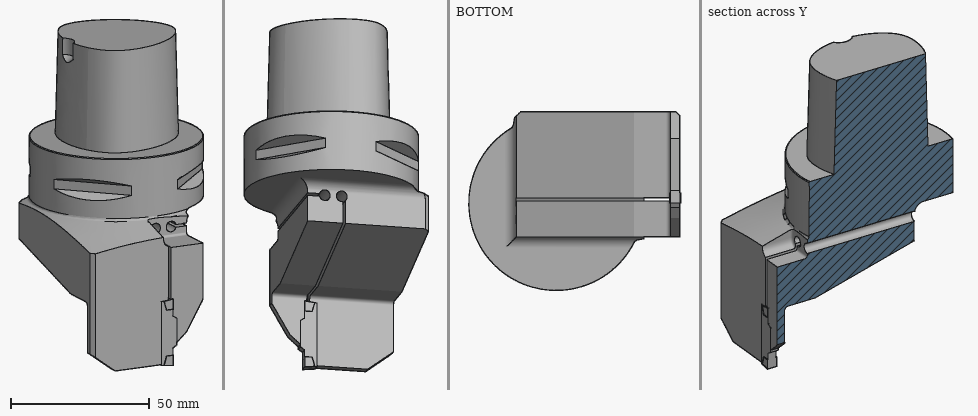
import cadquery as cq
import math


shank_height = 38.0
base_mean_radius = 22.3
top_mean_radius = 21.2
lobe_amplitude = 1.4
flat_normals = (-90, 30, 150)
flat_half_angle = 24.0
spline_steps = 8

notch_radius = 5.0
notch_axis_y = -22.5
notch_depth = 6.1
notch_tip_depth = 3.8

flange_radius = 31.5
flange_height = 22.1
flange_chamfer = 0.3

groove_count = 4
groove_first_angle = 45
groove_z = -12.1
groove_floor_radius = 27.9
groove_floor_height = 3.5
groove_flank_angle = 30

arm_left_x = -14.4
arm_left_bottom_z = -37.1
arm_slope_end_x = 28.2
arm_bottom_z = -48.3
arm_front_y = -33.0
arm_back_y = 12.2
arm_right_x = 44.6
blade_thickness = 3.4
blade_left_x = arm_right_x - blade_thickness
blade_bottom_z = -74.2
blade_root_fillet = 1.5
left_edge_chamfer = 1.6
right_edge_chamfer = 1.5
blade_corner_y = -23.4
blade_corner_z = -67.0
finger_slope_z = -51.9
finger_knee = (5.5, -63.2)
finger_tip_z = -66.7
cone_angle = 15
cone_rim_z = -23.2
cone_fillet = 1.0
flare_radius = 4.0

slit_width = 1.0
slit_hole_diameter = 4.0
slit_hole_z = -27.0
blade_slit_y = -1.4
blade_slit_hole_y = -0.5
back_slit_hole_y = 5.9
pocket_left_x = 31.8
pocket_front_y = -4.0
pocket_fillet = 4.0
pocket_floor_z = -30.8
pocket_end_fillet = 0.9

insert_length = 24.9
insert_bottom_z = shank_height - 113
insert_mid_z = insert_bottom_z + insert_length / 2
insert_rear_y = -4.6
insert_relief = 0.5
hump_y = 1.6
hump_half_length = 5.0
hump_root_half_length = 6.0
head_overhang = 0.3
head_length = 3.8
head_short_y = -2.7
head_long_y = -3.7


def taper_point(mean_radius, degrees):
    """Point of a three-lobed constant-width curve whose outward normal has the given direction."""
    angle = math.radians(degrees)
    phase = 3 * (angle - math.pi / 2)
    support = mean_radius + lobe_amplitude * math.cos(phase)
    slope = -3 * lobe_amplitude * math.sin(phase)
    x = support * math.cos(angle) - slope * math.sin(angle)
    y = support * math.sin(angle) + slope * math.cos(angle)
    return x, y


def taper_wire(mean_radius, z):
    breaks = []
    for normal in flat_normals:
        breaks += [normal - flat_half_angle, normal + flat_half_angle]
    breaks.append(breaks[0] + 360)
    edges = []
    for start, end in zip(breaks, breaks[1:]):
        points = []
        for i in range(spline_steps + 1):
            x, y = taper_point(mean_radius, start + (end - start) * i / spline_steps)
            points.append(cq.Vector(x, y, z))
        edges.append(cq.Edge.makeSpline(points))
    return cq.Wire.assembleEdges(edges)


def make_shank():
    base = taper_wire(base_mean_radius, 0)
    top = taper_wire(top_mean_radius, shank_height)
    shank = cq.Workplane(cq.Solid.makeLoft([base, top], True))
    return shank.cut(make_index_notch())


def make_index_notch():
    """Drill-shaped cutter: a cylinder with a conical tip."""
    rim_z = shank_height - notch_depth
    return (
        cq.Workplane("XZ", origin=(0, notch_axis_y, 0))
        .moveTo(0, shank_height)
        .lineTo(notch_radius, shank_height)
        .lineTo(notch_radius, rim_z)
        .lineTo(0, rim_z - notch_tip_depth)
        .close()
        .revolve(360, (0, 0, 0), (0, 1, 0))
    )


def make_gripper_groove(angle):
    """Straight V-flanked cutter lying across the flange rim."""
    cutter_depth = 2 * (flange_radius - groove_floor_radius)
    floor_half = groove_floor_height / 2
    mouth_half = floor_half + cutter_depth * math.tan(math.radians(groove_flank_angle))
    outer = groove_floor_radius + cutter_depth
    groove = (
        cq.Workplane("XZ")
        .polyline([
            (groove_floor_radius, groove_z - floor_half),
            (outer, groove_z - mouth_half),
            (outer, groove_z + mouth_half),
            (groove_floor_radius, groove_z + floor_half),
        ])
        .close()
        .extrude(flange_radius, both=True)
    )
    return groove.rotate((0, 0, 0), (0, 0, 1), angle)


def make_flange():
    flange = cq.Workplane("XY").circle(flange_radius).extrude(-flange_height)
    flange = flange.faces(">Z").chamfer(flange_chamfer)
    for i in range(groove_count):
        flange = flange.cut(make_gripper_groove(groove_first_angle + i * 360 / groove_count))
    return flange


def make_arm_block():
    """Arm and blade as seen from the front, with the blade trimmed to its side outline."""
    block = (
        cq.Workplane("XZ", origin=(0, arm_back_y, 0))
        .moveTo(arm_left_x, -flange_height)
        .lineTo(arm_left_x, arm_left_bottom_z)
        .lineTo(arm_slope_end_x, arm_bottom_z)
        .lineTo(blade_left_x - blade_root_fillet, arm_bottom_z)
        .radiusArc((blade_left_x, arm_bottom_z - blade_root_fillet), blade_root_fillet)
        .lineTo(blade_left_x, blade_bottom_z)
        .lineTo(arm_right_x, blade_bottom_z)
        .lineTo(arm_right_x, -flange_height)
        .close()
        .extrude(arm_back_y - arm_front_y)
    )
    side_outline = (
        cq.Workplane("YZ", origin=(arm_left_x, 0, 0))
        .polyline([
            (arm_back_y, -flange_height),
            (arm_back_y, finger_slope_z),
            finger_knee,
            (hump_y, finger_tip_z),
            (insert_rear_y, finger_tip_z),
            (insert_rear_y, blade_bottom_z),
            (blade_corner_y, blade_bottom_z),
            (arm_front_y, blade_corner_z),
            (arm_front_y, -flange_height),
        ])
        .close()
        .extrude(arm_right_x - arm_left_x)
    )
    return block.intersect(side_outline)


def make_flare():
    """Concave blend from the left and back arm walls out to the flange underside."""
    left_x = arm_left_x - flare_radius
    back_y = arm_back_y + flare_radius
    root_z = -flange_height - flare_radius
    x_length = arm_right_x - left_x
    y_length = back_y - arm_front_y
    flare = cq.Workplane("XY", origin=(left_x, arm_front_y, root_z)).box(
        x_length, y_length, flare_radius, centered=False
    )
    left_hollow = (
        cq.Workplane("XZ", origin=(left_x, arm_front_y, root_z)).circle(flare_radius).extrude(-y_length)
    )
    back_hollow = (
        cq.Workplane("YZ", origin=(left_x, back_y, root_z)).circle(flare_radius).extrude(x_length)
    )
    return flare.cut(left_hollow).cut(back_hollow)


def make_arm_envelope():
    """Turned shape that limits the arm: flange radius, small fillet, then a shallow cone."""
    outer_radius = 2 * flange_radius
    slope = math.radians(cone_angle)
    tangent_length = cone_fillet * math.tan((math.pi / 2 - slope) / 2)
    fillet_end = (
        flange_radius + tangent_length * math.cos(slope),
        cone_rim_z - tangent_length * math.sin(slope),
    )
    outer_z = cone_rim_z - (outer_radius - flange_radius) * math.tan(slope)
    return (
        cq.Workplane("XZ")
        .moveTo(0, -flange_height)
        .lineTo(flange_radius, -flange_height)
        .lineTo(flange_radius, cone_rim_z + tangent_length)
        .radiusArc(fillet_end, -cone_fillet)
        .lineTo(outer_radius, outer_z)
        .lineTo(outer_radius, blade_bottom_z)
        .lineTo(0, blade_bottom_z)
        .close()
        .revolve(360, (0, 0, 0), (0, 1, 0))
    )


def make_edge_chamfer(corner_x, size, outward):
    """Triangular cutter at a front vertical edge; outward is the X side the edge faces."""
    reach = 2 * flare_radius
    return (
        cq.Workplane("XY", origin=(0, 0, blade_bottom_z))
        .polyline([
            (corner_x - outward * (size + reach), arm_front_y - reach),
            (corner_x + outward * reach, arm_front_y + size + reach),
            (corner_x + outward * reach, arm_front_y - reach),
        ])
        .close()
        .extrude(-blade_bottom_z)
    )


def make_slits():
    """Two through holes along X, one slit down to the insert and one out of the back wall."""
    length = arm_right_x - arm_left_x + 2 * flare_radius
    plane = cq.Workplane("YZ", origin=(arm_left_x - flare_radius, 0, 0))
    holes = (
        plane.pushPoints([(blade_slit_hole_y, slit_hole_z), (back_slit_hole_y, slit_hole_z)])
        .circle(slit_hole_diameter / 2)
        .extrude(length)
    )
    down_height = slit_hole_z - insert_mid_z
    down_slit = (
        plane.center(blade_slit_y, slit_hole_z - down_height / 2)
        .rect(slit_width, down_height)
        .extrude(length)
    )
    back_length = arm_back_y + flare_radius - back_slit_hole_y
    back_slit = (
        plane.center(back_slit_hole_y + back_length / 2, slit_hole_z)
        .rect(back_length, slit_width)
        .extrude(length)
    )
    return holes.union(down_slit).union(back_slit)


def make_relief_pocket():
    """Clearance above the clamping finger, open to the top, back and right."""
    back_y = arm_back_y + 2 * flare_radius
    length = arm_right_x - pocket_left_x + flare_radius
    return (
        cq.Workplane("YZ", origin=(pocket_left_x, 0, 0))
        .moveTo(pocket_front_y, 0)
        .lineTo(pocket_front_y, pocket_floor_z + pocket_fillet)
        .radiusArc((pocket_front_y + pocket_fillet, pocket_floor_z), -pocket_fillet)
        .lineTo(back_y, pocket_floor_z)
        .lineTo(back_y, 0)
        .close()
        .extrude(length)
        .faces("<X")
        .edges("not(>Z or >Y)")
        .fillet(pocket_end_fillet)
    )


def insert_profile(left_x, thickness):
    """Side profile of the insert, symmetric about its middle height."""
    half = insert_length / 2
    upper = [
        (insert_rear_y, half - insert_relief),
        (0, half),
        (0, hump_root_half_length),
        (hump_y, hump_half_length),
    ]
    lower = [(y, -z) for y, z in reversed(upper)]
    return (
        cq.Workplane("YZ", origin=(left_x, 0, insert_mid_z))
        .polyline(upper + lower)
        .close()
        .extrude(thickness)
    )


def make_insert():
    head_left_x = blade_left_x - head_overhang
    head_thickness = blade_thickness + 2 * head_overhang
    half = insert_length / 2
    insert = insert_profile(blade_left_x, blade_thickness)
    for side in (1, -1):
        head = (
            cq.Workplane("YZ", origin=(head_left_x, 0, insert_mid_z))
            .polyline([
                (0, side * half),
                (0, side * (half - head_length)),
                (head_short_y, side * (half - head_length)),
                (head_long_y, side * (half - insert_relief)),
            ])
            .close()
            .extrude(head_thickness)
        )
        insert = insert.union(head)
    return insert


def make_arm():
    arm = make_arm_block().union(make_flare()).intersect(make_arm_envelope())
    arm = arm.cut(make_edge_chamfer(arm_left_x, left_edge_chamfer, -1))
    arm = arm.cut(make_edge_chamfer(arm_right_x, right_edge_chamfer, 1))
    return arm.cut(make_relief_pocket()).cut(make_slits())


def make_holder():
    holder = make_shank().union(make_flange()).union(make_arm())
    insert_seat = insert_profile(blade_left_x, blade_thickness)
    return holder.cut(insert_seat)


holder = make_holder()
insert = make_insert()
result = cq.Compound.makeCompound([holder.solids().val(), insert.solids().val()])